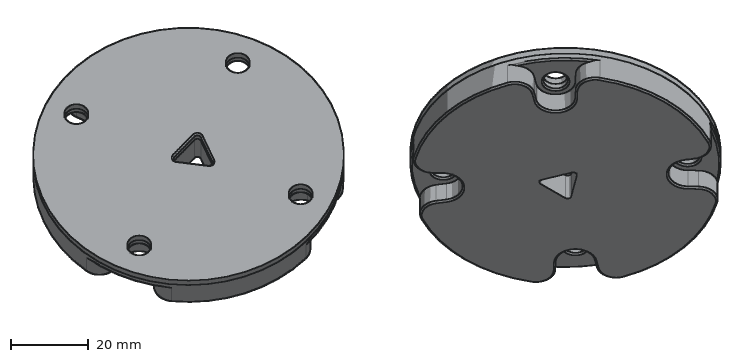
import cadquery as cq
import math

disc_radius = 40.0
total_height = 10.0
cover_thickness = 2.0
base_height = total_height - cover_thickness

bolt_count = 4
first_bolt_angle = 45.0
bolt_circle_radius = 31.5
bolt_hole_diameter = 6.2
slot_arc_center = 31.7
slot_arc_diameter = 10.2
slot_height = 6.0
flange_thickness = base_height - slot_height
slot_flare_angle = 6.0

triangle_height = 10.0
triangle_corner_radius = 1.0

edge_chamfer = 0.5


def bolt_holes(height):
    """Four bolt-hole cutters standing on the XY plane."""
    return (
        cq.Workplane("XY")
        .polarArray(bolt_circle_radius, first_bolt_angle, 360, bolt_count)
        .circle(bolt_hole_diameter / 2)
        .extrude(height)
    )


def triangle_opening(height):
    """Equilateral triangular prism with rounded corners, centred on its height."""
    half_side = triangle_height / math.sqrt(3)
    half_height = triangle_height / 2
    return (
        cq.Workplane("XY")
        .polyline([(-half_side, half_height), (half_side, half_height), (0, -half_height)])
        .close()
        .extrude(height)
        .edges("|Z")
        .fillet(triangle_corner_radius)
    )


def slot(height):
    """Slot along +X: round at the bolt hole, slightly flared sides, mouth blended into the rim."""
    flare = math.radians(slot_flare_angle)
    along_x, along_y = math.cos(flare), math.sin(flare)
    across_x, across_y = -math.sin(flare), math.cos(flare)
    arc_radius = slot_arc_diameter / 2

    offset = 2 * arc_radius
    offset_x = slot_arc_center + offset * across_x
    offset_y = offset * across_y
    projection = offset_x * along_x + offset_y * along_y
    gap = (disc_radius - arc_radius) ** 2 - offset_x**2 - offset_y**2
    side_length = math.sqrt(projection**2 + gap) - projection
    center_x = offset_x + side_length * along_x
    center_y = offset_y + side_length * along_y

    side_start = (slot_arc_center + arc_radius * across_x, arc_radius * across_y)
    side_end = (center_x - arc_radius * across_x, center_y - arc_radius * across_y)
    rim_angle = math.atan2(center_y, center_x)
    rim_end = (disc_radius * math.cos(rim_angle), disc_radius * math.sin(rim_angle))
    middle_angle = (flare - math.pi / 2 + rim_angle) / 2
    mouth_middle = (
        center_x + arc_radius * math.cos(middle_angle),
        center_y + arc_radius * math.sin(middle_angle),
    )
    outside_x = disc_radius + arc_radius

    def mirrored(point):
        return (point[0], -point[1])

    return (
        cq.Workplane("XY")
        .moveTo(*side_start)
        .lineTo(*side_end)
        .threePointArc(mouth_middle, rim_end)
        .lineTo(outside_x, rim_end[1])
        .lineTo(outside_x, -rim_end[1])
        .lineTo(*mirrored(rim_end))
        .threePointArc(mirrored(mouth_middle), mirrored(side_end))
        .lineTo(*mirrored(side_start))
        .threePointArc((slot_arc_center - arc_radius, 0), side_start)
        .close()
        .extrude(height)
    )


def make_foot():
    """Slotted disc over the full base height, chamfered around its underside."""
    foot = cq.Workplane("XY").circle(disc_radius).extrude(base_height)
    for index in range(bolt_count):
        angle = first_bolt_angle + index * 360 / bolt_count
        foot = foot.cut(slot(base_height).rotate((0, 0, 0), (0, 0, 1), angle))
    return foot.faces("<Z").chamfer(edge_chamfer)


def make_flange():
    """Disc that roofs the slots, its rim and bolt holes chamfered from below."""
    flange = cq.Workplane("XY").circle(disc_radius).extrude(flange_thickness)
    flange = flange.cut(bolt_holes(flange_thickness))
    flange = flange.faces("<Z").chamfer(edge_chamfer)
    return flange.translate((0, 0, slot_height))


def make_base():
    """Lower body: slotted foot and flange in one piece, with the triangular opening."""
    return make_foot().union(make_flange()).cut(triangle_opening(base_height))


def make_cover():
    """Upper body: flat plate with bolt holes and a chamfered triangular opening."""
    plate = cq.Workplane("XY").circle(disc_radius).extrude(cover_thickness)
    plate = plate.cut(triangle_opening(cover_thickness))
    opening_edges = plate.faces(">Z").val().innerWires()[0].Edges()
    plate = plate.newObject(opening_edges).chamfer(edge_chamfer)
    plate = plate.cut(bolt_holes(cover_thickness))
    return plate.translate((0, 0, base_height))


base = make_base()
cover = make_cover()
result = cq.Compound.makeCompound([base.val(), cover.val()])